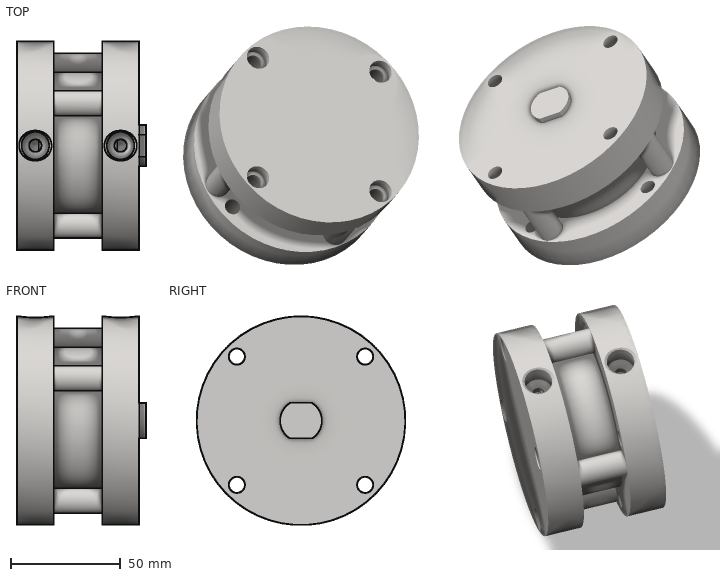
import cadquery as cq
import math


cover_radius = 47.6
cover_thickness = 16.9
cover_gap = 22.0
front_cover_x = cover_thickness + cover_gap
front_face_x = front_cover_x + cover_thickness

barrel_radius = 33.5
seat_depth = 7.0

spacer_radius = 5.7
spacer_circle_radius = 41.3
spacer_angle = 28.0
spacer_count = 4

mount_offset = 29.2
mount_hole_radius = 3.6
counterbore_radius = 5.3
counterbore_depth = 6.7

port_radius = 6.3
port_chamfer_radius = 7.4
port_depth = 10.5
passage_radius = 2.9
passage_depth = 16.2
drill_half_angle = 59.0

rod_radius = 9.5
rod_half_flats = 8.1
rod_protrusion = 3.2


def cylinder_along_x(x_start, length, radius, y=0.0, z=0.0):
    """Cylinder parallel to X, starting at x_start."""
    start = cq.Vector(x_start, y, z)
    return cq.Workplane(cq.Solid.makeCylinder(radius, length, start, cq.Vector(1, 0, 0)))


def drilled_hole(radius, depth):
    """Blind hole with a conical drill tip, going down from the top of a cover at X = 0."""
    floor_z = cover_radius - depth
    tip_z = floor_z - radius / math.tan(math.radians(drill_half_angle))
    profile = [(0, cover_radius), (radius, cover_radius), (radius, floor_z), (0, tip_z)]
    return cq.Workplane("XZ").polyline(profile).close().revolve(360, (0, 0), (0, 1))


def supply_port(x_center):
    """Port with a 45 degree chamfer and a narrower passage below it."""
    chamfer_depth = port_chamfer_radius - port_radius
    chamfer_base = cq.Vector(0, 0, cover_radius - chamfer_depth)
    chamfer = cq.Workplane(
        cq.Solid.makeCone(port_radius, port_chamfer_radius, chamfer_depth, chamfer_base)
    )
    port = drilled_hole(port_radius, port_depth)
    passage = drilled_hole(passage_radius, passage_depth)
    return port.union(chamfer).union(passage).translate((x_center, 0, 0))


def cut_mount_holes(cover, x_start, depth, radius):
    """Cut one round hole at each of the four mounting positions."""
    for y in (-mount_offset, mount_offset):
        for z in (-mount_offset, mount_offset):
            cover = cover.cut(cylinder_along_x(x_start, depth, radius, y, z))
    return cover


def make_cover(x_start, seat_x):
    """Round cover with its barrel seat, supply port and four mounting holes."""
    cover = cylinder_along_x(x_start, cover_thickness, cover_radius)
    cover = cover.cut(cylinder_along_x(seat_x, seat_depth, barrel_radius))
    cover = cover.cut(supply_port(x_start + cover_thickness / 2))
    return cut_mount_holes(cover, x_start, cover_thickness, mount_hole_radius)


def make_rear_cover():
    """Closed cover whose mounting holes are counterbored from the outer face."""
    cover = make_cover(0.0, cover_thickness - seat_depth)
    return cut_mount_holes(cover, 0.0, counterbore_depth, counterbore_radius)


def make_rod():
    """Round rod with flats above and below, from the barrel's end to beyond the front cover."""
    rod_start = front_cover_x + seat_depth
    rod_length = front_face_x + rod_protrusion - rod_start
    rod = cylinder_along_x(rod_start, rod_length, rod_radius)
    flats = cq.Workplane("XY").box(
        rod_length, 2 * rod_radius, 2 * rod_half_flats, centered=(False, True, True)
    )
    return rod.intersect(flats.translate((rod_start, 0, 0)))


def make_spacer(angle):
    """Spacer between the covers, at an angle about X measured from +Z towards +Y."""
    y = spacer_circle_radius * math.sin(math.radians(angle))
    z = spacer_circle_radius * math.cos(math.radians(angle))
    return cylinder_along_x(cover_thickness, cover_gap, spacer_radius, y, z)


rear_cover = make_rear_cover()
rod = make_rod()
front_cover = make_cover(front_cover_x, front_cover_x).cut(rod)
barrel = cylinder_along_x(cover_thickness - seat_depth, cover_gap + 2 * seat_depth, barrel_radius)
spacers = [make_spacer(spacer_angle + i * 360 / spacer_count) for i in range(spacer_count)]

result = cq.Compound.makeCompound(
    [
        rear_cover.val(),
        front_cover.val(),
        barrel.val(),
        rod.val(),
        *[spacer.val() for spacer in spacers],
    ]
)